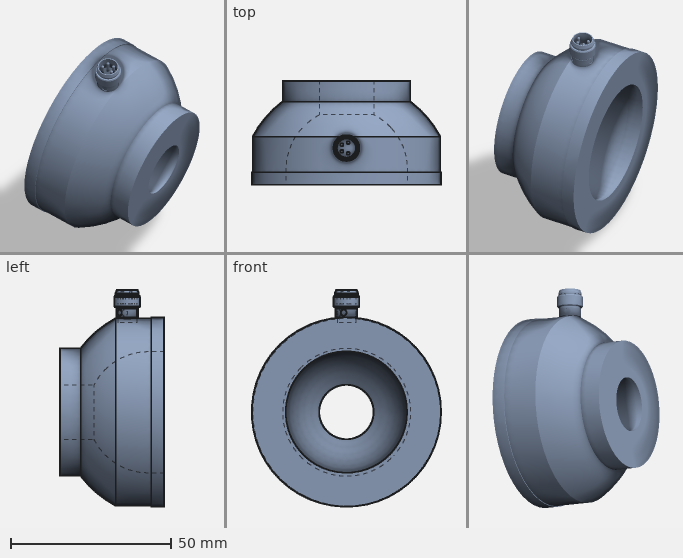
import cadquery as cq
import math

flange_radius = 29.6
flange_length = 4.0
drum_radius = 29.3
drum_end = 15.0
neck_radius = 20.0
neck_start = 26.0
housing_length = 32.5

bowl_radius = 18.95
bowl_mouth_depth = 5.0
viewing_hole_radius = 8.45

connector_y = 11.5
connector_top = 67.7 - flange_radius

nose_radius = 3.25
nose_end = 1.0
snap_rim_radius = 3.65
snap_rim_end = 1.5
snap_groove_radius = 3.45
snap_groove_end = 1.9
collar_radius = 4.05
collar_chamfer = 0.2
collar_top_taper = 0.35
collar_end = 5.35
barrel_radius = 3.45
barrel_neck_radius = 3.2
barrel_neck_end = 5.95
barrel_end = 8.5
stem_radius = 2.9
stem_seat_depth = 1.35

socket_radius = 3.0
socket_depth = 4.4
pin_radius = 0.5
pin_circle_radius = 1.75
pin_recess = 0.35
pin_positions = 5

dimple_radius = 0.95
dimple_depth = 0.17
dimple_drop = 7.1
dimple_count = 3
dimple_start_angle = 15.0

stem_bottom = drum_radius - stem_seat_depth


def sphere_center(y1, r1, y2, r2):
    """Y of the sphere centre on the axis, for a sphere through two profile points."""
    return (y2**2 + r2**2 - y1**2 - r1**2) / (2 * (y2 - y1))


def dome_midpoint():
    """Point halfway along the dome's spherical profile, as (radius, Y)."""
    center = sphere_center(drum_end, drum_radius, neck_start, neck_radius)
    radius = math.hypot(drum_radius, drum_end - center)
    mid_y = (drum_end + neck_start) / 2
    return math.sqrt(radius**2 - (mid_y - center) ** 2), mid_y


def make_shell():
    """Flange, drum, spherical dome and neck as one solid of revolution."""
    profile = (
        cq.Workplane("XY")
        .lineTo(flange_radius, 0)
        .lineTo(flange_radius, flange_length)
        .lineTo(drum_radius, flange_length)
        .lineTo(drum_radius, drum_end)
        .threePointArc(dome_midpoint(), (neck_radius, neck_start))
        .lineTo(neck_radius, housing_length)
        .lineTo(0, housing_length)
        .close()
    )
    return profile.revolve(360, (0, 0, 0), (0, 1, 0))


def make_bowl():
    """Straight mouth, tangent spherical bowl and the viewing hole behind it."""
    bowl_depth = math.sqrt(bowl_radius**2 - viewing_hole_radius**2)
    hole_start = bowl_mouth_depth + bowl_depth
    half_angle = math.asin(viewing_hole_radius / bowl_radius) / 2 + math.pi / 4
    bowl_midpoint = (
        bowl_radius * math.sin(half_angle),
        bowl_mouth_depth + bowl_radius * math.cos(half_angle),
    )
    profile = (
        cq.Workplane("XY")
        .lineTo(bowl_radius, 0)
        .lineTo(bowl_radius, bowl_mouth_depth)
        .threePointArc(bowl_midpoint, (viewing_hole_radius, hole_start))
        .lineTo(viewing_hole_radius, housing_length)
        .lineTo(0, housing_length)
        .close()
    )
    return profile.revolve(360, (0, 0, 0), (0, 1, 0))


def upright_cylinder(radius, bottom, top):
    """Cylinder on the connector axis between two heights."""
    return cq.Workplane("XY", origin=(0, connector_y, bottom)).circle(radius).extrude(top - bottom)


def make_housing():
    stem_seat = upright_cylinder(stem_radius, stem_bottom, connector_top)
    return make_shell().cut(make_bowl()).cut(stem_seat)


def make_connector_body():
    """Turned outline of the connector, from its top down to the stem."""
    outline = [
        (0, 0),
        (nose_radius, 0),
        (snap_rim_radius, -nose_end),
        (snap_rim_radius, -snap_rim_end),
        (snap_groove_radius, -snap_rim_end),
        (snap_groove_radius, -snap_groove_end),
        (collar_radius - collar_chamfer, -snap_groove_end),
        (collar_radius, -snap_groove_end - collar_top_taper),
        (collar_radius, -collar_end + collar_chamfer),
        (collar_radius - collar_chamfer, -collar_end),
        (barrel_neck_radius, -collar_end),
        (barrel_radius, -barrel_neck_end),
        (barrel_radius, -barrel_end),
        (stem_radius, -barrel_end),
        (stem_radius, stem_bottom - connector_top),
        (0, stem_bottom - connector_top),
    ]
    plane = cq.Workplane("XZ", origin=(0, connector_y, connector_top))
    return plane.polyline(outline).close().revolve(360, (0, 0, 0), (0, 1, 0))


def make_pins():
    """Round-tipped contact pins standing on the socket floor."""
    pitch = 2 * math.pi / pin_positions
    centers = [
        (pin_circle_radius * math.cos(i * pitch), pin_circle_radius * math.sin(i * pitch))
        for i in range(1, pin_positions)
    ]
    floor = cq.Workplane("XY", origin=(0, connector_y, connector_top - socket_depth))
    straight_length = socket_depth - pin_recess - pin_radius
    pins = floor.pushPoints(centers).circle(pin_radius).extrude(straight_length)
    tips = floor.workplane(offset=straight_length).pushPoints(centers).sphere(pin_radius)
    return pins.union(tips)


def make_dimple(angle):
    """Cutter for a flat-bottomed round dimple in the barrel, facing the given angle."""
    direction = cq.Vector(math.cos(math.radians(angle)), math.sin(math.radians(angle)), 0)
    center = cq.Vector(0, connector_y, connector_top - dimple_drop)
    start = center + direction * (barrel_radius - dimple_depth)
    return cq.Solid.makeCylinder(dimple_radius, barrel_radius, start, direction)


def make_connector():
    socket = upright_cylinder(socket_radius, connector_top - socket_depth, connector_top)
    connector = make_connector_body().cut(socket).union(make_pins())
    for i in range(dimple_count):
        connector = connector.cut(make_dimple(dimple_start_angle + i * 360 / dimple_count))
    return connector


housing = make_housing()
connector = make_connector()

result = cq.Compound.makeCompound([housing.val(), connector.val()])